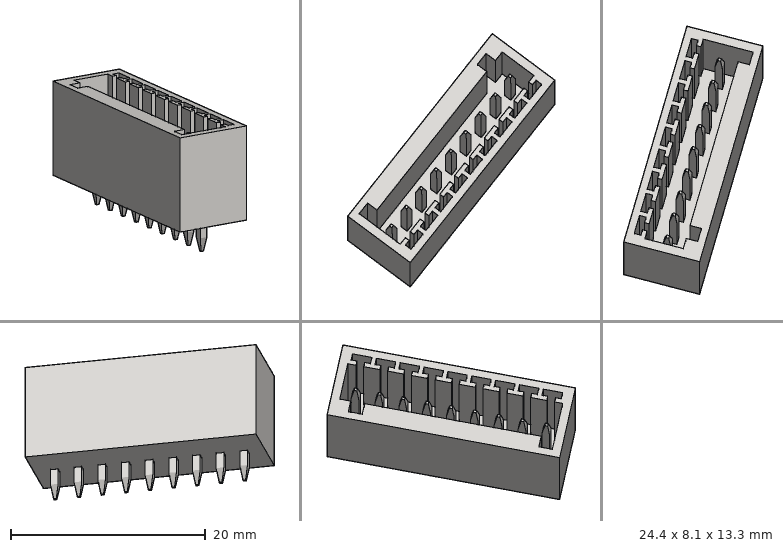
import cadquery as cq

LENGTH = 24.4
DEPTH = 8.1
HEIGHT = 10.1
FLOOR = 1.0

CAVITY_LENGTH = 22.55
CAVITY_DEPTH = 4.1

KEYWAY_WALL = 0.78
KEYWAY_WIDTH = 1.46
KEYWAY_LEFT_EDGE = 2.07
CORNER_KEYWAY_WIDTH = 1.42

SLOT_WALL = 0.8
SLOT_WIDTH = 2.03
SLOT_MOUTH = 0.8
LIP = 0.5

PIN_COUNT = 9
PIN_ROW = 20.0
PIN_WIDTH = 0.8
PIN_TIP = 0.3
PIN_TAPER = 1.5
PIN_BOTTOM = -3.2
PIN_TOP = 8.8
PIN_Y = -0.05

PIN_PITCH = PIN_ROW / (PIN_COUNT - 1)
PIN_PLACES = [-PIN_ROW / 2 + i * PIN_PITCH for i in range(PIN_COUNT)]
JOINED_PIN_PLACE = PIN_PLACES[0]
LOOSE_PIN_PLACES = PIN_PLACES[1:]

CAVITY_FRONT = -CAVITY_DEPTH / 2
CAVITY_BACK = CAVITY_DEPTH / 2


def box(x_min, x_max, y_min, y_max, z_min, z_max):
    """Block between the given limits."""
    size = (x_max - x_min, y_max - y_min, z_max - z_min)
    return cq.Workplane("XY").box(*size, centered=False).translate((x_min, y_min, z_min))


def pocket(x_min, x_max, y_min, y_max):
    """Cutting block from the cavity floor to the top of the housing."""
    return box(x_min, x_max, y_min, y_max, FLOOR, HEIGHT)


def t_slot(x):
    """Cutting shape of one T-shaped slot: a narrow mouth with a wider space behind it."""
    mouth = pocket(x - SLOT_MOUTH / 2, x + SLOT_MOUTH / 2, CAVITY_BACK, CAVITY_BACK + LIP)
    space = pocket(x - SLOT_WIDTH / 2, x + SLOT_WIDTH / 2, CAVITY_BACK + LIP, DEPTH / 2 - SLOT_WALL)
    return mouth.union(space)


def taper(z_wide, z_narrow):
    """Pyramid-shaped pin end that narrows from z_wide to z_narrow."""
    return (
        cq.Workplane("XY", origin=(0, 0, z_wide))
        .rect(PIN_WIDTH, PIN_WIDTH)
        .workplane(offset=z_narrow - z_wide)
        .rect(PIN_TIP, PIN_TIP)
        .loft()
    )


def pin(x):
    """One square pin with a tapered tip at each end."""
    half = PIN_WIDTH / 2
    shank_bottom = PIN_BOTTOM + PIN_TAPER
    shank_top = PIN_TOP - PIN_TAPER
    shank = box(-half, half, -half, half, shank_bottom, shank_top)
    body = shank.union(taper(shank_bottom, PIN_BOTTOM)).union(taper(shank_top, PIN_TOP))
    return body.translate((x, PIN_Y, 0))


def make_housing():
    """Open-topped housing with keyways, T-shaped slots, a joined first pin and holes for the others."""
    body = box(-LENGTH / 2, LENGTH / 2, -DEPTH / 2, DEPTH / 2, 0, HEIGHT)
    body = body.cut(pocket(-CAVITY_LENGTH / 2, CAVITY_LENGTH / 2, CAVITY_FRONT, CAVITY_BACK))

    keyway_front = -DEPTH / 2 + KEYWAY_WALL
    keyway_left = -LENGTH / 2 + KEYWAY_LEFT_EDGE
    body = body.cut(pocket(keyway_left, keyway_left + KEYWAY_WIDTH, keyway_front, CAVITY_FRONT))
    corner_left = CAVITY_LENGTH / 2 - CORNER_KEYWAY_WIDTH
    body = body.cut(pocket(corner_left, CAVITY_LENGTH / 2, keyway_front, CAVITY_FRONT))

    for x in PIN_PLACES:
        body = body.cut(t_slot(x))
    for x in LOOSE_PIN_PLACES:
        body = body.cut(pin(x))
    return body.union(pin(JOINED_PIN_PLACE))


housing = make_housing()
pins = [pin(x) for x in LOOSE_PIN_PLACES]

result = cq.Compound.makeCompound([housing.solids().val(), *[p.solids().val() for p in pins]])